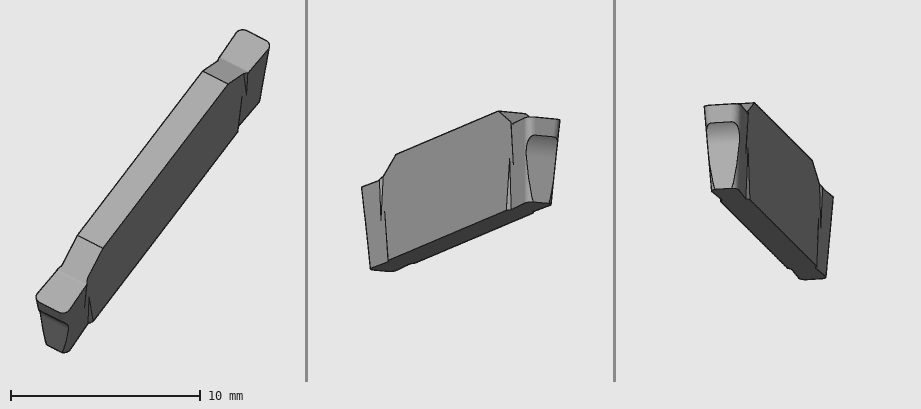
import cadquery as cq
import math

half_length = 10.32
height = 5.53
cutting_height = 4.46
body_half_width = 1.6 / 2

cutting_width = 2.0
corner_radius = 0.41
back_taper = math.tan(math.radians(2.8))
side_relief = math.tan(math.radians(3.1))
front_clearance = math.tan(math.radians(6.6))
tip_half_width = cutting_width / 2 + back_taper * corner_radius
head_root = 6.81

slope_top = 6.24
shoulder_angle = math.radians(30)
shoulder_radius = 0.23
lower_face = 9.79
hollow_bottom = 2.44
hollow_top = 3.51

blend_slope = 0.55
narrowing_start = 7.2
narrowing_lean = 0.15
flare_start = 8.35
flare_lean = -0.12
flare_growth = 0.41

clear = 1.03


def front_at(z):
    """Length position of the front clearance face at height z."""
    return half_length - front_clearance * (cutting_height - z)


def head_half_width(y, z):
    return (tip_half_width - back_taper * (half_length - y)
            - side_relief * (cutting_height - z))


def full_height_loft(section):
    """Join the plan outlines section(0) and section(height) with flat sides."""
    return (
        cq.Workplane("XY").polyline(section(0)).close()
        .workplane(offset=height).polyline(section(height)).close()
        .loft(ruled=True, combine=True)
    )


def head_section(z):
    front = front_at(z)
    root_half = head_half_width(head_root, z)
    front_half = head_half_width(front, z)
    return [(-root_half, head_root), (root_half, head_root),
            (front_half, front), (-front_half, front)]


def flare_section(z):
    start = flare_start + flare_lean * z
    wide_at = start + flare_growth / blend_slope
    wide = body_half_width + flare_growth
    end = half_length + clear
    right = [(body_half_width, head_root - clear), (body_half_width, start),
             (wide, wide_at), (wide, end)]
    left = [(-x, y) for x, y in reversed(right)]
    return right + left


def body_section(z):
    start = narrowing_start + narrowing_lean * z
    point = start + body_half_width / blend_slope
    return [(body_half_width, -start), (body_half_width, start), (0, point),
            (-body_half_width, start), (-body_half_width, -start), (0, -point)]


def make_head():
    """Head at the +Y end, narrowing to the body width behind its flare."""
    block = full_height_loft(head_section)
    front_corners = (
        block.edges(cq.selectors.BoxSelector(
            (-2 * tip_half_width, lower_face - clear, 0),
            (2 * tip_half_width, half_length + clear, height)))
        .edges("not #Z")
        .filter(lambda edge: abs(edge.Center().x) > body_half_width / 2)
        .filter(lambda edge: edge.BoundingBox().zlen > height / 2)
    )
    block = front_corners.fillet(corner_radius)
    return block.intersect(full_height_loft(flare_section))


def make_side_envelope():
    """Half of the lengthwise profile, from mid-length to the +Y end."""
    shoulder = slope_top + (height - cutting_height) / math.tan(shoulder_angle)
    outer = half_length + clear
    envelope = (
        cq.Workplane("YZ").moveTo(0, 0)
        .lineTo(lower_face, 0)
        .lineTo(lower_face, hollow_bottom)
        .tangentArcPoint((front_at(hollow_top), hollow_top), relative=False)
        .lineTo(outer, hollow_top)
        .lineTo(outer, cutting_height)
        .lineTo(shoulder, cutting_height)
        .lineTo(slope_top, height)
        .lineTo(0, height)
        .close()
        .extrude(tip_half_width + clear, both=True)
    )
    shoulder_edge = cq.selectors.NearestToPointSelector((0, shoulder, cutting_height))
    return envelope.edges(shoulder_edge).fillet(shoulder_radius)


head = make_head()
heads = head.union(head.mirror("XZ"))
half_envelope = make_side_envelope()
envelope = half_envelope.union(half_envelope.mirror("XZ"))
result = full_height_loft(body_section).union(heads).intersect(envelope).clean()